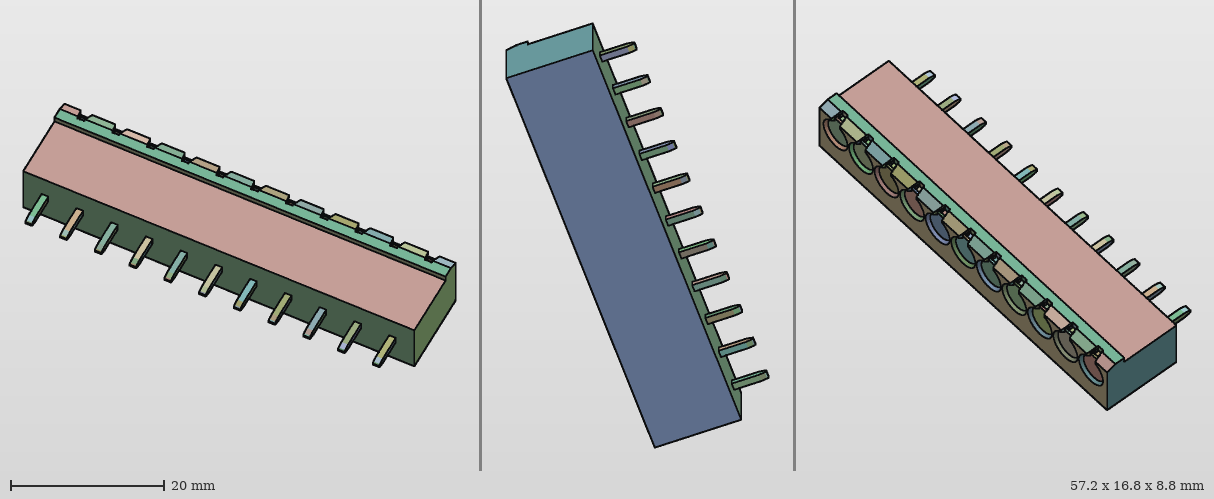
import cadquery as cq

contact_count = 11
end_margin = 3.2

length = 57.2
pitch = (length - 2 * end_margin) / (contact_count - 1)
total_depth = 16.8
height = 8.8
pin_length = 4.8
depth = total_depth - pin_length
lip_height = 0.85
lip_depth = 3.0
lip_chamfer_depth = 1.45
lip_chamfer_drop = 0.6
shoulder_height = height - lip_height

pin_width = 1.0
pin_taper_length = 1.05
pin_nose_length = 0.25
pin_nose_thickness = 0.6
pin_tip_thickness = 0.3
pin_height = 4.1

funnel_depth = 0.5
funnel_height = 5.55
funnel_mouth_radius = 2.4
funnel_throat_radius = 2.05

notch_depth = 1.7
notch_mouth_width = 1.7
notch_neck_width = 1.45
notch_end_width = pin_width
notch_floor = 8.0

slot_width = pin_width
slot_start = 0.85
slot_front_floor = 7.8
slot_slope = 0.27

contact_places = [end_margin - length / 2 + i * pitch for i in range(contact_count)]


def extrude_along_x(points, width, x_center):
    """Extrude a (y, z) outline along X, centred on x_center."""
    plane = cq.Workplane("YZ", origin=(x_center - width / 2, 0, 0))
    return plane.polyline(points).close().extrude(width)


def make_housing():
    """Block with a raised lip along its back edge, chamfered toward the back face."""
    outline = [
        (-depth, 0),
        (0, 0),
        (0, height - lip_chamfer_drop),
        (-lip_chamfer_depth, height),
        (-lip_depth, height),
        (-lip_depth, shoulder_height),
        (-depth, shoulder_height),
    ]
    return extrude_along_x(outline, length, 0)


def make_pin(x):
    """Square-section pin on the front face, thinned in two tapers toward its tip."""
    tip = -depth - pin_length
    taper_start = tip + pin_taper_length
    nose_start = tip + pin_nose_length
    half = pin_width / 2
    half_nose = pin_nose_thickness / 2
    half_tip = pin_tip_thickness / 2
    outline = [
        (-depth, pin_height - half),
        (-depth, pin_height + half),
        (taper_start, pin_height + half),
        (nose_start, pin_height + half_nose),
        (tip, pin_height + half_tip),
        (tip, pin_height - half_tip),
        (nose_start, pin_height - half_nose),
        (taper_start, pin_height - half),
    ]
    return extrude_along_x(outline, pin_width, x)


def make_funnel(x):
    """Conical recess narrowing from the back face inward."""
    mouth = cq.Workplane("XZ", origin=(x, 0, funnel_height)).circle(funnel_mouth_radius)
    return mouth.workplane(offset=funnel_depth).circle(funnel_throat_radius).loft()


def make_notch_mouth(x):
    """Part of the notch that drops into the funnel, flaring toward the back face."""
    outline = [
        (x - notch_mouth_width / 2, 0),
        (x + notch_mouth_width / 2, 0),
        (x + notch_neck_width / 2, -funnel_depth),
        (x - notch_neck_width / 2, -funnel_depth),
    ]
    plane = cq.Workplane("XY", origin=(0, 0, funnel_height))
    return plane.polyline(outline).close().extrude(height - funnel_height)


def make_notch_neck(x):
    """Part of the notch in front of the funnel; its floor slopes down toward the back face."""
    outline = [
        (x - notch_neck_width / 2, -funnel_depth),
        (x + notch_neck_width / 2, -funnel_depth),
        (x + notch_end_width / 2, -notch_depth),
        (x - notch_end_width / 2, -notch_depth),
    ]
    walls = cq.Workplane("XY").polyline(outline).close().extrude(height)
    front_floor = notch_floor + slot_slope * (notch_depth - funnel_depth)
    side = [
        (-funnel_depth, notch_floor),
        (-funnel_depth, height),
        (-notch_depth, height),
        (-notch_depth, front_floor),
    ]
    return walls.intersect(extrude_along_x(side, notch_neck_width, x))


def make_slot(x):
    """Slot in the floor of the notch, parallel to that floor."""
    back_floor = slot_front_floor - slot_slope * (notch_depth - slot_start)
    side = [
        (-slot_start, back_floor),
        (-slot_start, height),
        (-notch_depth, height),
        (-notch_depth, slot_front_floor),
    ]
    return extrude_along_x(side, slot_width, x)


result = make_housing()
for x in contact_places:
    result = result.union(make_pin(x))
    for make_recess in (make_funnel, make_notch_mouth, make_notch_neck, make_slot):
        result = result.cut(make_recess(x))